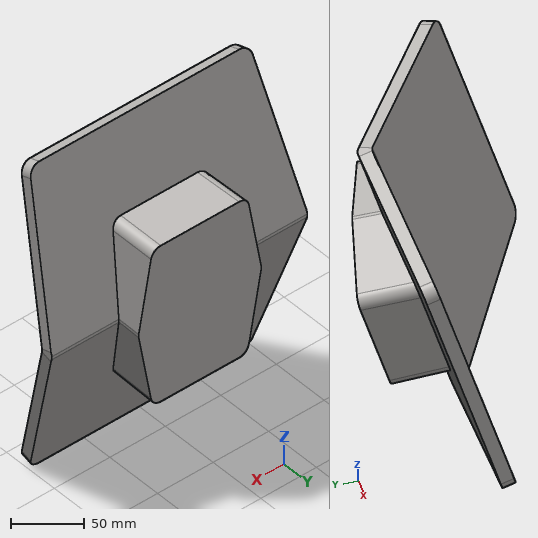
import cadquery as cq
import math

width = 230.3
depth = 73.0
height = 270.5

wing_thickness = 10.0
wing_tip_width = 198.0
wing_corner_radius = 10.0
strip_height = 2.7
wing_tilt = 17.5

block_middle_width = 110.5
block_end_width = 85.5
block_height = 140.2
block_corner_radius = 9.0
block_draft = 1.0

tilt = math.radians(wing_tilt)
root_front_z = strip_height / 2
root_back_z = root_front_z + wing_thickness * math.sin(tilt)
wing_length = (height / 2 - root_back_z) / math.cos(tilt)
root_front_y = -depth + wing_length * math.sin(tilt)
root_back_y = root_front_y + wing_thickness * math.cos(tilt)
strip_back_y = root_back_y + (root_back_z - root_front_z) * math.tan(tilt)


def make_upper_wing():
    """Tapered plate with two rounded tip corners, tilted forward."""
    plane = cq.Plane(
        origin=(0, root_front_y, root_front_z),
        xDir=(1, 0, 0),
        normal=(0, -math.cos(tilt), -math.sin(tilt)),
    )
    outline = [
        (-width / 2, 0),
        (width / 2, 0),
        (wing_tip_width / 2, wing_length),
        (-wing_tip_width / 2, wing_length),
    ]
    wing = cq.Workplane(plane).polyline(outline).close().extrude(-wing_thickness)
    tip_corners = cq.selectors.BoxSelector((-width, -2 * depth, height / 4), (width, depth, height))
    thickness_edges = cq.selectors.ParallelDirSelector(plane.zDir)
    return wing.edges(tip_corners).edges(thickness_edges).fillet(wing_corner_radius)


def make_strip():
    """Full-width core that fills the wedge between the wing roots."""
    profile = [
        (root_front_y, -root_front_z),
        (root_front_y, root_front_z),
        (root_back_y, root_back_z),
        (strip_back_y, root_front_z),
        (strip_back_y, -root_front_z),
        (root_back_y, -root_back_z),
    ]
    return cq.Workplane("YZ").polyline(profile).close().extrude(width / 2, both=True)


def make_block():
    """Block tapering toward both ends, cut to the backs of the wings."""
    middle_x = block_middle_width / 2
    end_x = block_end_width / 2
    end_z = block_height / 2
    outline = [
        (-end_x, -end_z),
        (end_x, -end_z),
        (middle_x, -root_front_z),
        (middle_x, root_front_z),
        (end_x, end_z),
        (-end_x, end_z),
        (-middle_x, root_front_z),
        (-middle_x, -root_front_z),
    ]
    block = cq.Workplane("XZ").polyline(outline).close().extrude(depth, taper=block_draft)
    mid_depth = cq.selectors.BoxSelector((-width, -0.75 * depth, -height), (width, -depth / 4, height))
    middle_edges = cq.selectors.BoxSelector((-width, -depth, -end_z / 2), (width, depth, end_z / 2))
    block = block.edges(mid_depth - middle_edges).fillet(block_corner_radius)

    overlap = wing_thickness / 2
    end_y = strip_back_y - (end_z - root_front_z) * math.tan(tilt)
    side_profile = [
        (0, -end_z),
        (end_y - overlap, -end_z),
        (strip_back_y - overlap, -root_front_z),
        (strip_back_y - overlap, root_front_z),
        (end_y - overlap, end_z),
        (0, end_z),
    ]
    space = cq.Workplane("YZ").polyline(side_profile).close().extrude(width / 2, both=True)
    return block.intersect(space)


upper_wing = make_upper_wing()
lower_wing = upper_wing.mirror("XY")
result = make_strip().union(upper_wing).union(lower_wing).union(make_block())